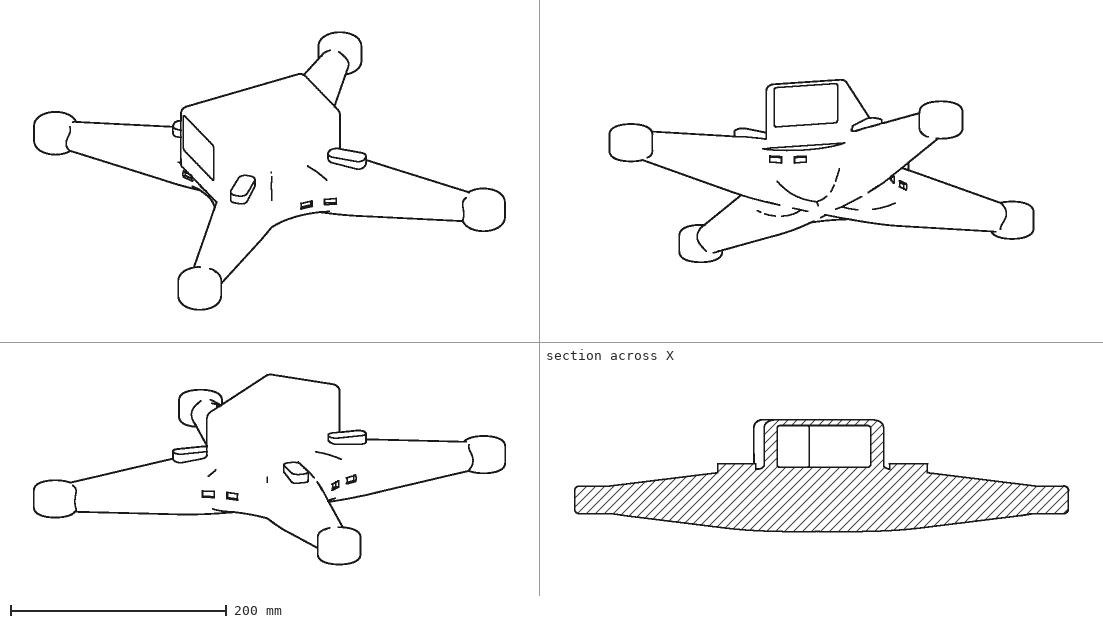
import cadquery as cq
import math

BODY_DEPTH = 29.7
SPAN_X = 456.92
SPAN_Y = 457.98
TOTAL_HEIGHT = 104.0
BOX_TOP = TOTAL_HEIGHT - BODY_DEPTH

POD_RADIUS = 20.0
POD_HEIGHT = 26.0
POD_FILLET = 5.0
POD_REACH_X = SPAN_X / 2 - POD_RADIUS
POD_REACH_FRONT = 208.0
POD_REACH_BACK = SPAN_Y - 2 * POD_RADIUS - POD_REACH_FRONT

ROOT_REACH = 90.0
ROOT_RADIUS = 26.3
COLLAR_REACH = 184.0
COLLAR_RADIUS = 14.7
TIP_REACH = 204.0
TAPER = (ROOT_RADIUS - COLLAR_RADIUS) / (COLLAR_REACH - ROOT_REACH)
TIP_RADIUS = COLLAR_RADIUS - TAPER * (TIP_REACH - COLLAR_REACH)

WEB_CENTRE = 98.0
WEB_RADIUS = 72.6
WEB_HALF_WIDTH = 42.0
WEB_HALF_HEIGHT = 26.5
WEB_SWEEP = 80.0
WEB_DIAGONAL = 45.0

PORT_WIDTH = 11.0
PORT_HEIGHT = 6.0
PORT_DEPTH = 3.0
PORT_ANGLES = (4.0, 22.0)

PAD_REACH_X = 75.5
PAD_REACH_Y = 79.5
PAD_LENGTH = 35.5
PAD_WIDTH = 15.7
PAD_CORNER = 6.5
PAD_TOP = 33.7
PAD_BASE = 15.0

BOX_LENGTH = 130.0
BOX_WIDTH = 77.0
BOX_BASE = 10.0
BOX_CENTRE = (-6.2, -7.7)
BOX_ANGLE = 46.0
BOX_CORNER = 5.0
BOX_TOP_FILLET = 7.0
BOX_JOINT_FILLET = 4.0
WINDOW_WIDTH = 60.0
WINDOW_HEIGHT = 38.5
WINDOW_TOP_WALL = 5.5
WINDOW_FILLET = 2.5
BOX_END_WALL = (BOX_WIDTH - WINDOW_WIDTH) / 2


def make_arm(reach_angle):
    """Round tapering arm from the hub centre, turned about Z."""
    profile = (
        cq.Workplane("XZ")
        .lineTo(0, BODY_DEPTH)
        .spline([(ROOT_REACH, ROOT_RADIUS)], tangents=[(1, 0), (1, -TAPER)], includeCurrent=True)
        .lineTo(TIP_REACH, TIP_RADIUS)
        .lineTo(TIP_REACH, 0)
        .close()
    )
    arm = profile.revolve(360, (0, 0, 0), (1, 0, 0))
    return arm.rotate((0, 0, 0), (0, 0, 1), reach_angle)


def make_web(quadrant_angle):
    """Ring segment between two neighbouring arms, kept to its own quadrant."""
    ring_radius = WEB_RADIUS + WEB_HALF_WIDTH
    ring = (
        cq.Workplane("XZ")
        .center(-ring_radius, 0)
        .ellipse(WEB_HALF_WIDTH, WEB_HALF_HEIGHT)
        .revolve(WEB_SWEEP, (ring_radius, 0, 0), (ring_radius, 1, 0))
    )
    ring = ring.rotate((0, 0, 0), (0, 0, 1), WEB_DIAGONAL - WEB_SWEEP / 2)
    ring = ring.translate((WEB_CENTRE, WEB_CENTRE, 0))
    quadrant = cq.Workplane("XY").box(
        WEB_CENTRE, WEB_CENTRE, 2 * BODY_DEPTH, centered=(False, False, True)
    )
    return ring.intersect(quadrant, clean=False).rotate((0, 0, 0), (0, 0, 1), quadrant_angle)


def make_port(angle):
    """Port cutter for the +X +Y web."""
    port = cq.Workplane("XY").box(2 * PORT_DEPTH, PORT_WIDTH, PORT_HEIGHT)
    port = port.translate((-WEB_RADIUS, 0, 0))
    port = port.rotate((0, 0, 0), (0, 0, 1), WEB_DIAGONAL + angle)
    return port.translate((WEB_CENTRE, WEB_CENTRE, 0))


def make_pod(x, y):
    pod = cq.Workplane("XY").circle(POD_RADIUS).extrude(POD_HEIGHT)
    return pod.faces("<Z or >Z").edges().fillet(POD_FILLET).translate((x, y, -POD_HEIGHT / 2))


def make_pad(reach, reach_angle):
    pad = cq.Workplane("XY").box(PAD_LENGTH, PAD_WIDTH, PAD_TOP - PAD_BASE, centered=(True, True, False))
    pad = pad.edges("|Z").fillet(PAD_CORNER).translate((reach, 0, PAD_BASE))
    return pad.rotate((0, 0, 0), (0, 0, 1), reach_angle)


def place_on_hub(shape):
    """Move a shape from the box's own frame to its turned place on the hub."""
    return shape.rotate((0, 0, 0), (0, 0, 1), BOX_ANGLE).translate((*BOX_CENTRE, 0))


def make_box():
    height = BOX_TOP - BOX_BASE
    box = cq.Workplane("XY").box(BOX_LENGTH, BOX_WIDTH, height, centered=(True, True, False))
    box = box.edges("|Z").fillet(BOX_CORNER)
    box = box.faces(">Z").edges().fillet(BOX_TOP_FILLET)
    return place_on_hub(box.translate((0, 0, BOX_BASE)))


def make_box_cavity():
    depth = BOX_LENGTH - BOX_END_WALL
    cavity = cq.Workplane("XY").box(depth, WINDOW_WIDTH, WINDOW_HEIGHT).edges("|X").fillet(WINDOW_FILLET)
    middle_height = BOX_TOP - WINDOW_TOP_WALL - WINDOW_HEIGHT / 2
    return place_on_hub(cavity.translate((-BOX_END_WALL / 2, 0, middle_height)))


def is_box_joint(edge):
    """True for the curved edges where the box walls cut through the rounded hub."""
    if edge.geomType() != "BSPLINE":
        return False
    middle = edge.positionAt(0.5)
    turn = math.radians(BOX_ANGLE)
    from_centre_x = middle.x - BOX_CENTRE[0]
    from_centre_y = middle.y - BOX_CENTRE[1]
    along = abs(from_centre_x * math.cos(turn) + from_centre_y * math.sin(turn))
    across = abs(from_centre_y * math.cos(turn) - from_centre_x * math.sin(turn))
    inset = min(BOX_LENGTH / 2 - along, BOX_WIDTH / 2 - across)
    return middle.z > BOX_BASE and abs(inset) < BOX_CORNER / 2


body = make_arm(0)
for angle in (90, 180, 270):
    body = body.union(make_arm(angle))
for angle in (0, 90, 180, 270):
    body = body.union(make_web(angle), clean=False)
body = body.union(make_box())
body = body.edges().filter(is_box_joint).fillet(BOX_JOINT_FILLET)

for angle in (0, 180):
    body = body.union(make_pad(PAD_REACH_X, angle))
for angle in (90, 270):
    body = body.union(make_pad(PAD_REACH_Y, angle))
pod_places = [(POD_REACH_X, 0), (-POD_REACH_X, 0), (0, POD_REACH_BACK), (0, -POD_REACH_FRONT)]
for x, y in pod_places:
    body = body.union(make_pod(x, y))

for angle in PORT_ANGLES:
    port = make_port(angle)
    for cutter in (port, port.mirror("YZ"), port.mirror("XZ"), port.mirror("YZ").mirror("XZ")):
        body = body.cut(cutter)

result = body.cut(make_box_cavity())